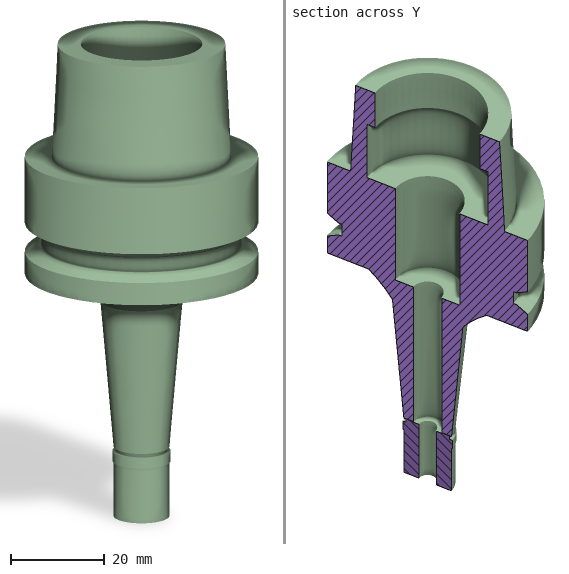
import cadquery as cq

TOTAL_HEIGHT = 105.0
COLLAR_BOTTOM = 12.2
COLLAR_TOP = 14.6
NECK_TOP = 15.4
STEM_TOP = 48.0
FLANGE_BOTTOM = 54.0
FLANGE_TOP = 80.0

FLANGE_RADIUS = 25.0
GROOVE_RADIUS = 21.4
GROOVE_LIP_RADIUS = 22.2
GROOVE_BOTTOM = 58.9
GROOVE_TOP = 65.3
GROOVE_CHAMFER_HEIGHT = 1.6

SHANK_BASE_RADIUS = 19.2
SHANK_TOP_RADIUS = 18.0

SHOULDER_TOP_RADIUS = 14.7
SHOULDER_MID_RADIUS = 11.1
SHOULDER_MID_HEIGHT = 50.8
STEM_TOP_RADIUS = 8.8
STEM_BOTTOM_RADIUS = 6.0

MOUTH_RADIUS = 13.0
MOUTH_DEPTH = 10.0
UNDERCUT_RADIUS = 15.0
COUNTERBORE_RADIUS = 8.0
COUNTERBORE_BOTTOM = FLANGE_BOTTOM
STEM_BORE_RADIUS = 3.5

TIP_RADIUS = 6.0
COLLAR_RADIUS = 6.2
NECK_RADIUS = 5.5
COOLANT_RADIUS = 2.1


def cylinder(radius, bottom, top):
    """Upright cylinder on the Z axis between two heights."""
    return cq.Workplane("XY").workplane(offset=bottom).circle(radius).extrude(top - bottom)


def holder_blank():
    """Solid of revolution with the holder's outer profile."""
    lower_lip = GROOVE_BOTTOM + GROOVE_CHAMFER_HEIGHT
    upper_lip = GROOVE_TOP - GROOVE_CHAMFER_HEIGHT
    profile = (
        cq.Workplane("XZ")
        .moveTo(0, NECK_TOP)
        .lineTo(STEM_BOTTOM_RADIUS, NECK_TOP)
        .lineTo(STEM_TOP_RADIUS, STEM_TOP)
        .threePointArc(
            (SHOULDER_MID_RADIUS, SHOULDER_MID_HEIGHT),
            (SHOULDER_TOP_RADIUS, FLANGE_BOTTOM),
        )
        .lineTo(FLANGE_RADIUS, FLANGE_BOTTOM)
        .lineTo(FLANGE_RADIUS, GROOVE_BOTTOM)
        .lineTo(GROOVE_LIP_RADIUS, lower_lip)
        .lineTo(GROOVE_RADIUS, lower_lip)
        .lineTo(GROOVE_RADIUS, upper_lip)
        .lineTo(GROOVE_LIP_RADIUS, upper_lip)
        .lineTo(FLANGE_RADIUS, GROOVE_TOP)
        .lineTo(FLANGE_RADIUS, FLANGE_TOP)
        .lineTo(SHANK_BASE_RADIUS, FLANGE_TOP)
        .lineTo(SHANK_TOP_RADIUS, TOTAL_HEIGHT)
        .lineTo(0, TOTAL_HEIGHT)
        .close()
    )
    return profile.revolve(360, (0, 0, 0), (0, 1, 0))


def make_holder():
    """Tool holder with a mouth, a wider undercut, a counterbore and a stem bore."""
    undercut_top = TOTAL_HEIGHT - MOUTH_DEPTH
    return (
        holder_blank()
        .cut(cylinder(MOUTH_RADIUS, undercut_top, TOTAL_HEIGHT))
        .cut(cylinder(UNDERCUT_RADIUS, FLANGE_TOP, undercut_top))
        .cut(cylinder(COUNTERBORE_RADIUS, COUNTERBORE_BOTTOM, FLANGE_TOP))
        .cut(cylinder(STEM_BORE_RADIUS, NECK_TOP, COUNTERBORE_BOTTOM))
    )


def make_tip():
    """Tip with a collar, a short neck against the holder and a through hole."""
    return (
        cylinder(TIP_RADIUS, 0, COLLAR_BOTTOM)
        .union(cylinder(COLLAR_RADIUS, COLLAR_BOTTOM, COLLAR_TOP))
        .union(cylinder(NECK_RADIUS, COLLAR_TOP, NECK_TOP))
        .cut(cylinder(COOLANT_RADIUS, 0, NECK_TOP))
    )


holder = make_holder()
tip = make_tip()

result = cq.Compound.makeCompound([holder.val(), tip.val()])